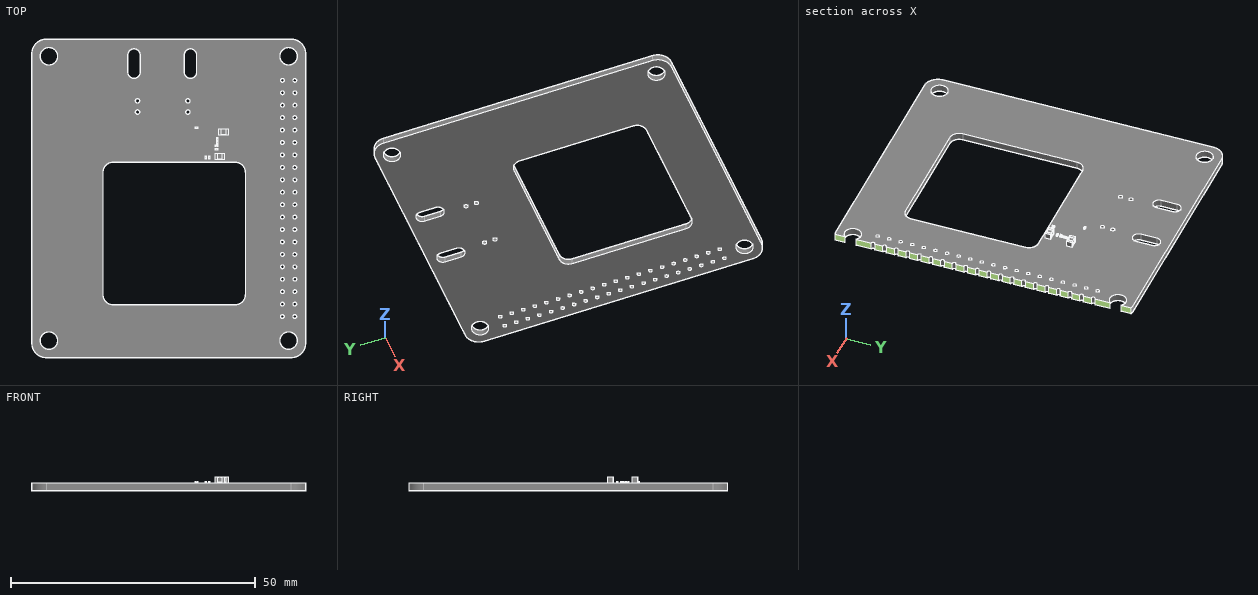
import cadquery as cq

BOARD_X = 56.0
BOARD_Y = 65.1
TOTAL_HEIGHT = 2.85
LARGE_CHIP_HEIGHT = 1.25
BOARD_THICKNESS = TOTAL_HEIGHT - LARGE_CHIP_HEIGHT
BOARD_CORNER_RADIUS = 3.0

MOUNT_HOLE_DIAMETER = 3.5
MOUNT_HOLE_INSET = 3.5

WINDOW_SIDE = 29.05
WINDOW_X = 1.1
WINDOW_Y = -7.15
WINDOW_CORNER_RADIUS = 2.0

SLOT_LENGTH = 6.0
SLOT_WIDTH = 2.5
SLOT_XS = (-7.1, 4.4)
SLOT_Y = 27.55

HEADER_HOLE_DIAMETER = 0.7
HEADER_PITCH = 2.55
HEADER_COLUMNS = 2
HEADER_ROWS = 20
HEADER_X = BOARD_X / 2 - MOUNT_HOLE_INSET

LEAD_HOLE_DIAMETER = 0.85
LEAD_HOLE_XS = (-6.4, 3.9)
LEAD_HOLE_YS = (19.9, 17.65)

LARGE_CHIP_LENGTH = 2.0
LARGE_CHIP_WIDTH = 1.25
LARGE_CAP_LENGTH = 0.5
LARGE_BLOCK_INSET = 0.05
LARGE_BASE_HEIGHT = 0.2
LARGE_CHIP_PLACES = ((10.4, 8.6), (11.2, 13.6))

SMALL_CHIP_LENGTH = 0.6
SMALL_CHIP_WIDTH = 0.3
SMALL_CHIP_HEIGHT = 0.25
SMALL_CAP_LENGTH = 0.15
SMALL_BLOCK_INSET = 0.01
SMALL_CHIPS_ALONG_X = ((5.65, 14.45), (9.8, 10.8), (9.8, 10.0))
SMALL_CHIPS_ALONG_Y = ((7.55, 8.35), (8.3, 8.35), (9.9, 12.1), (9.9, 11.4))


def drill(board, places, diameter):
    """Cut a through hole of the given diameter at every place."""
    tools = cq.Workplane("XY").pushPoints(places).circle(diameter / 2).extrude(BOARD_THICKNESS)
    return board.cut(tools)


def mount_hole_places():
    x = BOARD_X / 2 - MOUNT_HOLE_INSET
    y = BOARD_Y / 2 - MOUNT_HOLE_INSET
    return [(side_x * x, side_y * y) for side_x in (-1, 1) for side_y in (-1, 1)]


def header_places():
    first_x = HEADER_X - HEADER_PITCH * (HEADER_COLUMNS - 1) / 2
    first_y = -HEADER_PITCH * (HEADER_ROWS - 1) / 2
    return [
        (first_x + column * HEADER_PITCH, first_y + row * HEADER_PITCH)
        for column in range(HEADER_COLUMNS)
        for row in range(HEADER_ROWS)
    ]


def make_board():
    board = (
        cq.Workplane("XY")
        .box(BOARD_X, BOARD_Y, BOARD_THICKNESS, centered=(True, True, False))
        .edges("|Z")
        .fillet(BOARD_CORNER_RADIUS)
    )
    window = (
        cq.Workplane("XY")
        .center(WINDOW_X, WINDOW_Y)
        .rect(WINDOW_SIDE, WINDOW_SIDE)
        .extrude(BOARD_THICKNESS)
        .edges("|Z")
        .fillet(WINDOW_CORNER_RADIUS)
    )
    slots = (
        cq.Workplane("XY")
        .pushPoints([(x, SLOT_Y) for x in SLOT_XS])
        .slot2D(SLOT_LENGTH, SLOT_WIDTH, angle=90)
        .extrude(BOARD_THICKNESS)
    )
    board = board.cut(window).cut(slots)
    board = drill(board, mount_hole_places(), MOUNT_HOLE_DIAMETER)
    board = drill(board, header_places(), HEADER_HOLE_DIAMETER)
    lead_places = [(x, y) for x in LEAD_HOLE_XS for y in LEAD_HOLE_YS]
    return drill(board, lead_places, LEAD_HOLE_DIAMETER)


def block_on_origin(length, width, height):
    """A box that is centred in X and Y and stands on Z = 0."""
    return cq.Workplane("XY").box(length, width, height, centered=(True, True, False))


def end_caps(chip_length, cap_length, width, height):
    """The two end caps of a chip that lies along X."""
    offset = (chip_length - cap_length) / 2
    cap = block_on_origin(cap_length, width, height)
    return cap.translate((-offset, 0, 0)).union(cap.translate((offset, 0, 0)))


def make_large_chip():
    base = block_on_origin(LARGE_CHIP_LENGTH, LARGE_CHIP_WIDTH, LARGE_BASE_HEIGHT)
    block_width = LARGE_CHIP_WIDTH - 2 * LARGE_BLOCK_INSET
    block_height = LARGE_CHIP_HEIGHT - LARGE_BLOCK_INSET
    block = block_on_origin(LARGE_CHIP_LENGTH, block_width, block_height)
    caps = end_caps(LARGE_CHIP_LENGTH, LARGE_CAP_LENGTH, LARGE_CHIP_WIDTH, LARGE_CHIP_HEIGHT)
    return caps.union(block).union(base)


def make_small_chip():
    block_width = SMALL_CHIP_WIDTH - 2 * SMALL_BLOCK_INSET
    block_height = SMALL_CHIP_HEIGHT - SMALL_BLOCK_INSET
    block = block_on_origin(SMALL_CHIP_LENGTH, block_width, block_height)
    caps = end_caps(SMALL_CHIP_LENGTH, SMALL_CAP_LENGTH, SMALL_CHIP_WIDTH, SMALL_CHIP_HEIGHT)
    return caps.union(block)


def place_on_board(chip, places):
    """One separate copy of the chip on the board's top face at every place."""
    return [chip.translate((x, y, BOARD_THICKNESS)).val() for x, y in places]


board = make_board()
large_chips = place_on_board(make_large_chip(), LARGE_CHIP_PLACES)
small_chip = make_small_chip()
small_chips = place_on_board(small_chip, SMALL_CHIPS_ALONG_X)
turned_small_chip = small_chip.rotate((0, 0, 0), (0, 0, 1), 90)
small_chips += place_on_board(turned_small_chip, SMALL_CHIPS_ALONG_Y)

result = cq.Compound.makeCompound([board.val(), *large_chips, *small_chips])